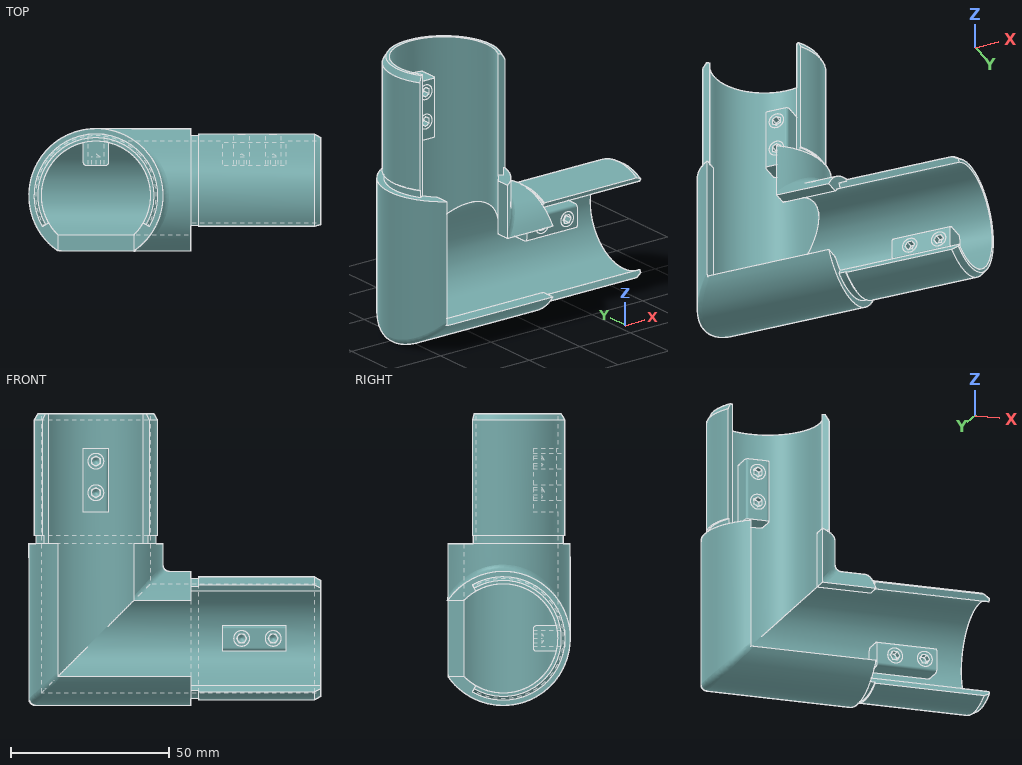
import cadquery as cq
import math

SLEEVE_RADIUS = 21.2
SPIGOT_DIAMETER = 39.0
SPIGOT_RADIUS = SPIGOT_DIAMETER / 2
GROOVE_RADIUS = 19.0
BORE_RADIUS = 17.2
LEG_LENGTH = 92.2 - SLEEVE_RADIUS
SLEEVE_LENGTH = 30.0
GROOVE_WIDTH = 2.5
LEAD_IN_LENGTH = 2.0
LEAD_IN_ANGLE = 30.0
MITRE_FILLET = 2.0

SLOT_WIDTH = 24.0
SPIGOT_OPENING_ANGLE = 120.0

BAR_WIDTH = 8.0
BAR_LENGTH = 20.0
BAR_CENTRE = 50.0
BAR_FACE = 9.5
BAR_CORNER_RADIUS = 1.0
BAR_SEATING = 0.55

SCREW_RADIUS = 2.5
SCREW_POSITIONS = (46.0, 56.0)
SCREW_LENGTH = SPIGOT_RADIUS - BAR_FACE
HEX_ACROSS_FLATS = 2.8
HEX_DEPTH = 2.8
HEX_CONE_DEPTH = 0.9
HEX_ACROSS_CORNERS = HEX_ACROSS_FLATS / math.cos(math.radians(30))


def on_z_leg(shape):
    """Leave a shape on the Z leg, where every leg feature is modelled."""
    return shape


def onto_x_leg(shape):
    """Mirror a shape from the Z leg onto the X leg, swapping X and Z."""
    return shape.mirror((1, 0, -1))


def leg_envelope():
    """Solid turned shape of one leg: sleeve, groove, spigot and tapered lead-in."""
    groove_end = SLEEVE_LENGTH + GROOVE_WIDTH
    lead_in_start = LEG_LENGTH - LEAD_IN_LENGTH
    end_radius = SPIGOT_RADIUS - LEAD_IN_LENGTH * math.tan(math.radians(LEAD_IN_ANGLE))
    return (
        cq.Workplane("XZ")
        .moveTo(0, -SLEEVE_RADIUS)
        .lineTo(SLEEVE_RADIUS, -SLEEVE_RADIUS)
        .lineTo(SLEEVE_RADIUS, SLEEVE_LENGTH)
        .lineTo(GROOVE_RADIUS, SLEEVE_LENGTH)
        .lineTo(GROOVE_RADIUS, groove_end)
        .lineTo(SPIGOT_RADIUS, groove_end)
        .lineTo(SPIGOT_RADIUS, lead_in_start)
        .lineTo(end_radius, LEG_LENGTH)
        .lineTo(0, LEG_LENGTH)
        .close()
        .revolve(360, (0, 0, 0), (0, 1, 0))
    )


def mitred(z_leg_shape):
    """Trim a Z leg shape at the plane X = Z and join it to its mirror image on the X leg."""
    r = SLEEVE_RADIUS
    z_leg_space = (
        cq.Workplane("XZ", origin=(0, r, 0))
        .polyline([(-r, -r), (r, r), (r, LEG_LENGTH), (-r, LEG_LENGTH)])
        .close()
        .extrude(2 * r)
    )
    z_leg = z_leg_shape.intersect(z_leg_space)
    return z_leg.union(onto_x_leg(z_leg))


def leg_bore():
    """Round bore along the whole Z leg."""
    full_length = LEG_LENGTH + SLEEVE_RADIUS
    return cq.Workplane("XY", origin=(0, 0, -SLEEVE_RADIUS)).circle(BORE_RADIUS).extrude(full_length)


def leg_slot():
    """Parallel-sided slot that opens the -Y side of the Z leg."""
    full_length = LEG_LENGTH + SLEEVE_RADIUS
    return (
        cq.Workplane("XY", origin=(0, -SLEEVE_RADIUS / 2, -SLOT_WIDTH / 2))
        .rect(SLOT_WIDTH, SLEEVE_RADIUS)
        .extrude(full_length)
    )


def spigot_opening():
    """Sector that leaves the spigot and groove of the Z leg C-shaped."""
    depth = SLEEVE_RADIUS
    half_width = depth * math.tan(math.radians(SPIGOT_OPENING_ANGLE / 2))
    return (
        cq.Workplane("XY", origin=(0, 0, SLEEVE_LENGTH))
        .polyline([(0, 0), (-half_width, -depth), (half_width, -depth)])
        .close()
        .extrude(LEG_LENGTH - SLEEVE_LENGTH)
    )


def clamping_bar():
    """Bar seated against the bore wall of the Z leg, opposite the opening."""
    height = BORE_RADIUS - BAR_FACE + BAR_SEATING
    return (
        cq.Workplane("XY")
        .box(BAR_WIDTH, height, BAR_LENGTH, centered=(True, False, True))
        .translate((0, BAR_FACE, BAR_CENTRE))
        .edges("<Y and |Z")
        .fillet(BAR_CORNER_RADIUS)
    )


def screw_blank(position):
    """Plain cylinder of one screw on the Z leg, also used to bore its hole."""
    return (
        cq.Workplane("XZ", origin=(0, BAR_FACE, position))
        .circle(SCREW_RADIUS)
        .extrude(-SCREW_LENGTH)
    )


def set_screw(position):
    """Set screw on the Z leg with a hexagon socket that ends in a cone."""
    socket_end = BAR_FACE + HEX_DEPTH
    socket = (
        cq.Workplane("XZ", origin=(0, BAR_FACE, position))
        .transformed(rotate=(0, 0, 90))
        .polygon(6, HEX_ACROSS_CORNERS)
        .extrude(-HEX_DEPTH)
    )
    cone = cq.Workplane(
        cq.Solid.makeCone(
            HEX_ACROSS_FLATS / 2, 0, HEX_CONE_DEPTH, cq.Vector(0, socket_end, position), cq.Vector(0, 1, 0)
        )
    )
    return screw_blank(position).cut(socket).cut(cone)


def elbow_shell():
    """Hollow slotted elbow, its outer mitre edge rounded separately on the heel and throat sides."""
    sharp = mitred(leg_envelope()).cut(mitred(leg_bore())).cut(mitred(leg_slot()))
    size = 4 * LEG_LENGTH
    throat_space = (
        cq.Workplane("XY")
        .box(size, size, size, centered=(True, True, False))
        .rotate((0, 0, 0), (0, 1, 0), 45)
    )
    heel = sharp.cut(throat_space)
    heel = heel.edges("%ELLIPSE").edges(">(-1, 0, -1)").fillet(MITRE_FILLET)
    throat = sharp.intersect(throat_space)
    throat = throat.edges("%ELLIPSE").edges(">(1, 0, 1)").fillet(MITRE_FILLET)
    return heel.union(throat)


def elbow_body():
    """Mitred elbow with its opening, spigots, clamping bars and screw holes."""
    body = elbow_shell()
    for place in (on_z_leg, onto_x_leg):
        body = body.cut(place(spigot_opening()))
        body = body.union(place(clamping_bar()))
        for position in SCREW_POSITIONS:
            body = body.cut(place(screw_blank(position)))
    return body


elbow = elbow_body()
z_leg_screws = [set_screw(position) for position in SCREW_POSITIONS]
x_leg_screws = [onto_x_leg(screw) for screw in z_leg_screws]
set_screws = [screw.val() for screw in z_leg_screws + x_leg_screws]

result = cq.Compound.makeCompound([elbow.val(), *set_screws])